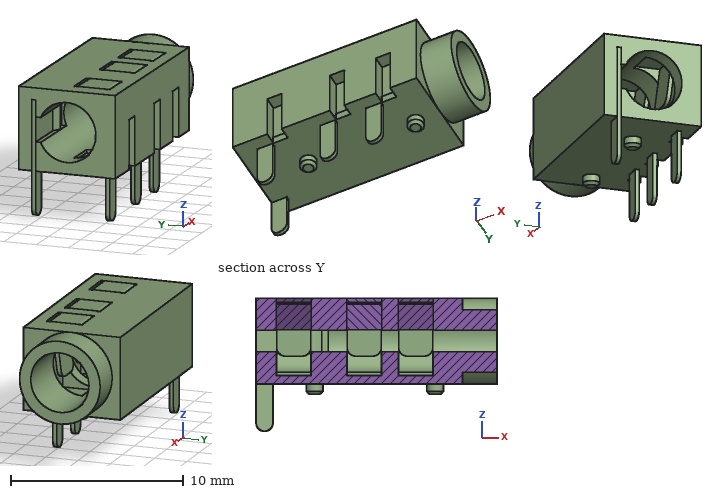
import cadquery as cq
import math


total_length = 14.0
nose_length = 2.0
housing_length = total_length - nose_length
housing_width = 6.0
housing_height = 5.0
bore_diameter = 3.6
bore_height = housing_height / 2

peg_diameter = 1.0
peg_length = 0.59
peg_chamfer = 0.18
peg_positions = [3.4, 10.4]

sheet = 0.25
contact_offset = 2.2
plate_inner = contact_offset - sheet
leg_width = 1.0
tip_radius = leg_width / 2

spring_positions = [1.2, 5.29, 8.29]
spring_width = 2 * leg_width
spring_leg_length = 3.0
pocket_floor = 0.5
fold_radius = 0.3
fold_inner_radius = fold_radius - sheet
return_bottom = housing_height - 2 * fold_radius
return_top = return_bottom + sheet
tongue_bottom = 1.62
tongue_reach = 1.25
tongue_angle = 7.2
window_height = 3.0
window_width = 0.94

ground_top = 4.27
ground_leg_length = 2.75
arm_height = 1.5
arm_length = 4.2
bump_start = 2.8
bump_rise = 0.3
bump_slope = 30
bump_run = bump_rise / math.tan(math.radians(bump_slope))


def block(x, y, z):
    """Box given by its (low, high) limits along each axis."""
    size = (x[1] - x[0], y[1] - y[0], z[1] - z[0])
    return cq.Workplane("XY").box(*size, centered=False).translate((x[0], y[0], z[0]))


def blade(x_start, y_start, bottom, top):
    """Flat upright strip of leg width, fully rounded at its lower end."""
    x_end = x_start + leg_width
    shoulder = bottom + tip_radius
    outline = (
        cq.Workplane("XZ", origin=(0, y_start, 0))
        .moveTo(x_start, top)
        .lineTo(x_start, shoulder)
        .threePointArc((x_start + tip_radius, bottom), (x_end, shoulder))
        .lineTo(x_end, top)
        .close()
    )
    return outline.extrude(-sheet)


def spring_strip():
    """Folded strip: outer plate, flat top, fold back under the top, and tongue hanging into the bore."""
    lean = math.tan(math.radians(tongue_angle))
    tongue_thickness = sheet / math.cos(math.radians(tongue_angle))
    inner_end = -tongue_reach
    outer_end = inner_end - tongue_thickness
    inner_root = inner_end - lean * (return_bottom - tongue_bottom)
    outer_root = outer_end - lean * (return_top - tongue_bottom)
    fold_y = -fold_radius
    fold_z = housing_height - fold_radius
    bend_y = -contact_offset + fold_radius
    diagonal = math.sqrt(0.5)

    return (
        cq.Workplane("YZ")
        .moveTo(-contact_offset, pocket_floor)
        .lineTo(-contact_offset, fold_z)
        .threePointArc(
            (bend_y - fold_radius * diagonal, fold_z + fold_radius * diagonal),
            (bend_y, housing_height),
        )
        .lineTo(fold_y, housing_height)
        .threePointArc((0, fold_z), (fold_y, return_bottom))
        .lineTo(inner_root, return_bottom)
        .lineTo(inner_end, tongue_bottom)
        .lineTo(outer_end, tongue_bottom)
        .lineTo(outer_root, return_top)
        .lineTo(fold_y, return_top)
        .threePointArc((fold_y + fold_inner_radius, fold_z), (fold_y, housing_height - sheet))
        .lineTo(bend_y, housing_height - sheet)
        .threePointArc(
            (bend_y - fold_inner_radius * diagonal, fold_z + fold_inner_radius * diagonal),
            (-plate_inner, fold_z),
        )
        .lineTo(-plate_inner, pocket_floor)
        .close()
        .extrude(spring_width)
    )


def spring_contact(x_start):
    """Contact whose solder leg continues the first half of its outer plate."""
    tongue_corners = cq.selectors.BoxSelector(
        (-0.14, -plate_inner, tongue_bottom - 0.14),
        (spring_width + 0.14, 0, tongue_bottom + 0.14),
    )
    strip = spring_strip().edges("not |X").edges(tongue_corners).fillet(tip_radius)
    leg = blade(0, -contact_offset, -spring_leg_length, pocket_floor)
    return strip.union(leg).translate((x_start, 0, 0))


def ground_arm():
    """Spring arm along the bore wall, with a bump bent towards the plug."""
    crest_x = bump_start + bump_run
    crest_y = plate_inner - bump_rise
    bump_end = crest_x + bump_run
    inner_edge = [
        (0, plate_inner),
        (bump_start, plate_inner),
        (crest_x, crest_y),
        (bump_end, plate_inner),
        (arm_length, plate_inner),
    ]
    outer_edge = [(x, y + sheet) for x, y in reversed(inner_edge)]
    arm = (
        cq.Workplane("XY", origin=(0, 0, bore_height - arm_height / 2))
        .polyline(inner_edge + outer_edge)
        .close()
        .extrude(arm_height)
    )
    arm = arm.edges(cq.NearestToPointSelector((crest_x, crest_y, bore_height))).fillet(fold_radius)
    hollow = cq.NearestToPointSelector((crest_x, crest_y + sheet, bore_height))
    return arm.edges(hollow).fillet(fold_inner_radius)


def ground_contact():
    """Rear contact plate with its solder leg and spring arm."""
    return blade(0, plate_inner, -ground_leg_length, ground_top).union(ground_arm())


def peg(x_position):
    """Chamfered locating peg under the housing."""
    return (
        cq.Workplane("XY", origin=(x_position, 0, 0))
        .circle(peg_diameter / 2)
        .extrude(-peg_length)
        .faces("<Z")
        .chamfer(peg_chamfer)
    )


def spring_cavity(x_start):
    """Pocket for one spring contact, its leg slot, and the side window beside the leg."""
    leg_end = x_start + leg_width
    pocket_end = x_start + spring_width
    pocket = block((x_start, pocket_end), (-contact_offset, 0), (pocket_floor, housing_height))
    leg_slot = block((x_start, leg_end), (-contact_offset, -plate_inner), (0, pocket_floor))
    window_limits = (pocket_end - window_width, pocket_end)
    window = block(window_limits, (-housing_width / 2, -contact_offset), (0, window_height))
    return pocket.union(leg_slot).union(window)


def ground_cavity():
    """Plate slot open at the rear and below, and a groove in the bore wall for the arm."""
    arm_limits = (bore_height - arm_height / 2, bore_height + arm_height / 2)
    plate_slot = block((0, leg_width), (plate_inner, contact_offset), (0, ground_top))
    groove = block((0, arm_length), (0, contact_offset), arm_limits)
    return plate_slot.union(groove)


def build_housing():
    """Housing block with the round nose, pegs, plug bore and contact cavities."""
    half_width = housing_width / 2
    body = block((0, housing_length), (-half_width, half_width), (0, housing_height))
    axis_plane = cq.Workplane("YZ", origin=(0, 0, bore_height))
    nose = axis_plane.workplane(offset=housing_length).circle(housing_height / 2).extrude(nose_length)
    body = body.union(nose)
    for x_position in peg_positions:
        body = body.union(peg(x_position))

    body = body.cut(axis_plane.circle(bore_diameter / 2).extrude(total_length))
    for x_start in spring_positions:
        body = body.cut(spring_cavity(x_start))
    return body.cut(ground_cavity())


housing = build_housing()
ground = ground_contact()
springs = [spring_contact(x_start) for x_start in spring_positions]

bodies = [housing, ground, *springs]

result = cq.Compound.makeCompound([body.solids().val() for body in bodies])